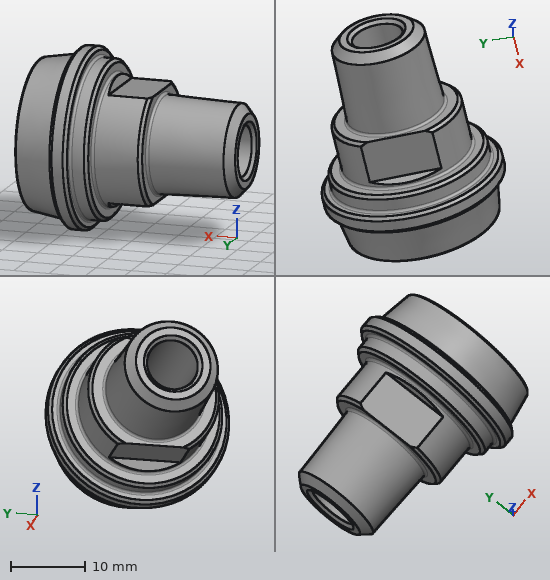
import cadquery as cq
import math

length = 29.5
bore_radius = 7.0 / 2
bore_chamfer = 0.53

nose_chamfer_length = 1.2
nose_face_radius = 5.13
spigot_front_radius = 6.43
spigot_rear_radius = 6.75

collar_start = 12.07
collar_radius = 18.0 / 2
collar_chamfer = 0.47
flat_height = 7.52
flat_end = 18.05
flat_runout = 0.38

small_flange_start = 19.05
small_flange_radius = 22.0 / 2
large_flange_start = 21.55
large_flange_end = 24.07
large_flange_radius = 25.0 / 2
flange_chamfer = 0.47

corner_fillet = 0.35
tail_fillet = 0.3
tail_front_radius = 11.33
tail_rear_radius = 10.47
tail_edge_chamfer = 0.15

DIAGONAL = math.sqrt(0.5)


def add_corner_fillet(profile, face_x, base_radius, size):
    """Concave quarter arc rising from a cylinder onto a face on its +X side."""
    start_x = face_x - size
    middle = (start_x + size * DIAGONAL, base_radius + size * (1 - DIAGONAL))
    return profile.lineTo(start_x, base_radius).threePointArc(middle, (face_x, base_radius + size))


def add_chamfered_step(profile, face_x, radius, chamfer):
    """Front face of a step, ending in its chamfered outer edge."""
    return profile.lineTo(face_x, radius - chamfer).lineTo(face_x + chamfer, radius)


def make_body():
    profile = cq.Workplane("XY").moveTo(0, bore_radius + bore_chamfer).lineTo(0, nose_face_radius)
    profile = profile.lineTo(nose_chamfer_length, spigot_front_radius)
    profile = add_corner_fillet(profile, collar_start, spigot_rear_radius, corner_fillet)
    profile = add_chamfered_step(profile, collar_start, collar_radius, collar_chamfer)
    profile = add_corner_fillet(profile, small_flange_start, collar_radius, corner_fillet)
    profile = add_chamfered_step(profile, small_flange_start, small_flange_radius, flange_chamfer)
    profile = add_corner_fillet(profile, large_flange_start, small_flange_radius, corner_fillet)
    profile = add_chamfered_step(profile, large_flange_start, large_flange_radius, flange_chamfer)

    profile = profile.lineTo(large_flange_end - flange_chamfer, large_flange_radius)
    profile = profile.lineTo(large_flange_end, large_flange_radius - flange_chamfer)
    profile = profile.lineTo(large_flange_end, tail_front_radius + tail_fillet)
    fillet_middle = (
        large_flange_end + tail_fillet * (1 - DIAGONAL),
        tail_front_radius + tail_fillet * (1 - DIAGONAL),
    )
    profile = profile.threePointArc(fillet_middle, (large_flange_end + tail_fillet, tail_front_radius))

    profile = profile.lineTo(length - tail_edge_chamfer, tail_rear_radius)
    profile = profile.lineTo(length, tail_rear_radius - tail_edge_chamfer)
    profile = profile.lineTo(length, bore_radius).lineTo(bore_chamfer, bore_radius).close()
    return profile.revolve(360, (0, 0, 0), (1, 0, 0))


def make_flat_cutter():
    """Wedge above the upper flat, with a steep run-out at its rear end."""
    return (
        cq.Workplane("XZ")
        .moveTo(collar_start, flat_height)
        .lineTo(flat_end, flat_height)
        .lineTo(flat_end + flat_runout, collar_radius)
        .lineTo(collar_start, collar_radius)
        .close()
        .extrude(collar_radius, both=True)
    )


upper_cutter = make_flat_cutter()
lower_cutter = upper_cutter.mirror("XY")
result = make_body().cut(upper_cutter).cut(lower_cutter)